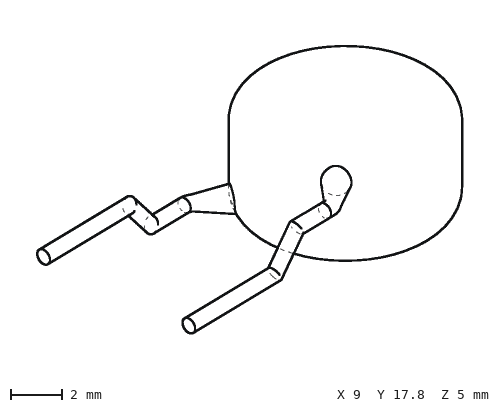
import cadquery as cq
import math

HOUSING_DIAMETER = 9.0
HOUSING_HEIGHT = 5.0
EDGE_RADIUS = 1.0

LEAD_PITCH = 7.48
LEAD_DIAMETER = 0.65
OVERALL_LENGTH = 17.8
KINK_START_Y = -7.05
KINK_END_Y = -8.31
LEAD_OFFSET_Z = HOUSING_HEIGHT / 2 - EDGE_RADIUS
LEAD_TIP_Y = HOUSING_DIAMETER / 2 - OVERALL_LENGTH

BEND_END_Y = -5.13
BEND_RADIUS = 0.5
BEND_ANGLE = 37.0
CONE_HALF_ANGLE = 9.5
CONE_LENGTH = 2.85
RIGHT_STUB_LENGTH = 0.28


def make_housing():
    """Solid disc with both rims rounded."""
    disc = cq.Workplane("XY").cylinder(HOUSING_HEIGHT, HOUSING_DIAMETER / 2)
    return disc.edges("%CIRCLE").fillet(EDGE_RADIUS)


def make_collar(side, stub_length, housing):
    """Cone leaving the housing, a bend towards -Y and an optional straight stub.

    side is -1 for the left lead (low) and +1 for the right lead (high).
    """
    lead_x = side * LEAD_PITCH / 2
    lead_z = side * LEAD_OFFSET_Z
    angle = math.radians(BEND_ANGLE)

    bend = (
        cq.Workplane("XZ", origin=(lead_x, BEND_END_Y, lead_z))
        .circle(LEAD_DIAMETER / 2)
        .revolve(BEND_ANGLE, (-side * BEND_RADIUS, 0), (-side * BEND_RADIUS, side))
    )

    cone_start = cq.Vector(
        lead_x - side * BEND_RADIUS * (1 - math.cos(angle)),
        BEND_END_Y + BEND_RADIUS * math.sin(angle),
        lead_z,
    )
    cone_direction = cq.Vector(-side * math.sin(angle), math.cos(angle), 0)
    base_radius = LEAD_DIAMETER / 2 + CONE_LENGTH * math.tan(math.radians(CONE_HALF_ANGLE))
    cone = cq.Solid.makeCone(LEAD_DIAMETER / 2, base_radius, CONE_LENGTH, cone_start, cone_direction)

    collar = bend.union(cq.Workplane(cone))
    if stub_length > 0:
        stub = (
            cq.Workplane("XZ", origin=(lead_x, BEND_END_Y, lead_z))
            .circle(LEAD_DIAMETER / 2)
            .extrude(stub_length)
        )
        collar = collar.union(stub)
    return collar.cut(housing)


def make_lead(side, stub_length):
    """Round wire starting at the collar and kinked to mid height, with mitred corners."""
    lead_x = side * LEAD_PITCH / 2
    lead_z = side * LEAD_OFFSET_Z
    start_y = BEND_END_Y - stub_length
    path = cq.Workplane("YZ", origin=(lead_x, 0, 0)).polyline(
        [(start_y, lead_z), (KINK_START_Y, lead_z), (KINK_END_Y, 0), (LEAD_TIP_Y, 0)]
    )
    profile = cq.Workplane("XZ", origin=(lead_x, start_y, lead_z)).circle(LEAD_DIAMETER / 2)
    return profile.sweep(path, transition="right")


housing = make_housing()
bodies = housing.solids().vals()
for side, stub_length in ((-1, 0), (1, RIGHT_STUB_LENGTH)):
    bodies.extend(make_collar(side, stub_length, housing).solids().vals())
    bodies.extend(make_lead(side, stub_length).solids().vals())

result = cq.Compound.makeCompound(bodies)